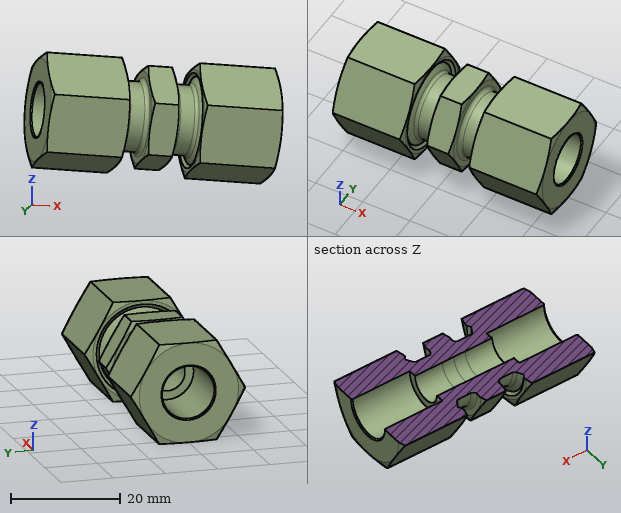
import cadquery as cq
import math

length = 44.0
nut_flats = 19.0
nut_length = 15.0
body_flats = 17.0
body_hex_length = 5.2
hex_chamfer_angle = math.radians(15)

neck_radius = 13.02 / 2
neck_fillet = 0.815
runout_angle = math.radians(60)
recess_radius = 17.6 / 2
recess_depth = 0.5
thread_radius = 16.3 / 2

bore_radius = 6.7 / 2
socket_radius = 10.0 / 2
socket_depth = 13.2
mouth_radius = 10.45 / 2
mouth_depth = 0.25

half_length = length / 2
nut_inner_x = half_length - nut_length
body_hex_x = body_hex_length / 2


def revolve_about_x(profile):
    return profile.close().revolve(360, (0, 0, 0), (1, 0, 0))


def chamfered_hex(start_x, hex_length, flats):
    """Hexagonal prism with corners along Y, turned to a cone at both ends."""
    flat_radius = flats / 2
    corner_radius = flat_radius / math.cos(math.pi / 6)
    chamfer = (corner_radius - flat_radius) * math.tan(hex_chamfer_angle)
    end_x = start_x + hex_length
    prism = (
        cq.Workplane("YZ", origin=(start_x, 0, 0))
        .polygon(6, 2 * corner_radius)
        .extrude(hex_length)
    )
    envelope = revolve_about_x(
        cq.Workplane("XY")
        .moveTo(start_x, 0)
        .lineTo(start_x, flat_radius)
        .lineTo(start_x + chamfer, corner_radius)
        .lineTo(end_x - chamfer, corner_radius)
        .lineTo(end_x, flat_radius)
        .lineTo(end_x, 0)
    )
    return prism.intersect(envelope)


def neck():
    """Round neck, filleted into the body hexagon and flaring out to the thread."""
    arc_center_r = neck_radius + neck_fillet
    flare_end_x = nut_inner_x + recess_depth
    flare_start_r = arc_center_r - neck_fillet * math.cos(runout_angle)
    flare_start_x = flare_end_x - (thread_radius - flare_start_r) / math.tan(runout_angle)
    outer_arc_x = flare_start_x - neck_fillet * math.sin(runout_angle)
    inner_arc_x = body_hex_x + neck_fillet
    half_turn = runout_angle / 2
    diagonal = neck_fillet * math.sqrt(0.5)
    return revolve_about_x(
        cq.Workplane("XY")
        .moveTo(0, 0)
        .lineTo(0, arc_center_r)
        .lineTo(body_hex_x, arc_center_r)
        .threePointArc((inner_arc_x - diagonal, arc_center_r - diagonal), (inner_arc_x, neck_radius))
        .lineTo(outer_arc_x, neck_radius)
        .threePointArc(
            (
                outer_arc_x + neck_fillet * math.sin(half_turn),
                arc_center_r - neck_fillet * math.cos(half_turn),
            ),
            (flare_start_x, flare_start_r),
        )
        .lineTo(flare_end_x, thread_radius)
        .lineTo(flare_end_x, 0)
    )


def nut():
    """Union nut with a conical recess in its inner face."""
    recess = revolve_about_x(
        cq.Workplane("XY")
        .moveTo(nut_inner_x, 0)
        .lineTo(nut_inner_x, recess_radius)
        .lineTo(nut_inner_x + recess_depth, thread_radius)
        .lineTo(nut_inner_x + recess_depth, 0)
    )
    return chamfered_hex(nut_inner_x, nut_length, nut_flats).cut(recess)


def tube_socket():
    """Bore from the middle of the coupling, stepping up to the tube socket."""
    socket_x = half_length - socket_depth
    return revolve_about_x(
        cq.Workplane("XY")
        .moveTo(0, 0)
        .lineTo(0, bore_radius)
        .lineTo(socket_x, bore_radius)
        .lineTo(socket_x, socket_radius)
        .lineTo(half_length - mouth_depth, socket_radius)
        .lineTo(half_length, mouth_radius)
        .lineTo(half_length, 0)
    )


half = nut().union(neck()).cut(tube_socket())
body_hex = chamfered_hex(-body_hex_x, body_hex_length, body_flats)
through_bore = (
    cq.Workplane("YZ", origin=(-body_hex_x, 0, 0)).circle(bore_radius).extrude(body_hex_length)
)
result = body_hex.cut(through_bore).union(half).union(half.mirror("YZ"))